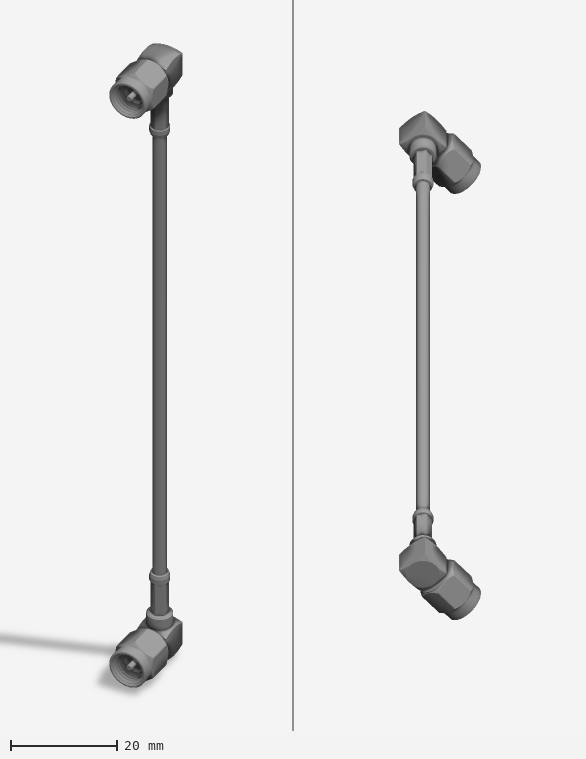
import cadquery as cq
import math


overall_height = 141.1

block_width = 6.3
block_back_y = block_width / 2
block_front_y = -block_width / 2
block_end_diameter = block_width
neck_diameter = 5.1
neck_end_drop = 5.9
neck_chamfer = 0.3
barrel_diameter = 5.1
socket_diameter = 4.5
pin_diameter = 1.2
pin_tip_diameter = 0.95
barrel_length = 6.2
socket_depth = 1.0
pin_length = 3.2

total_depth = 15.5
nut_front_y = block_back_y - total_depth
nut_flats = 8.0
nut_clearance = 0.4
nut_back_y = block_front_y - nut_clearance
nut_length = nut_back_y - nut_front_y
nut_rim_diameter = 7.9
nut_rim_length = 2.1
nut_bore_depth = 5.9
nut_corner_diameter = 9.2
nut_corner_chamfer = 0.8
nut_rim_chamfer = 0.1
nut_mouth_chamfer = 0.3
thread_minor_diameter = 5.8
thread_major_diameter = 6.5
thread_pitch = 0.7
thread_count = 7

plug_axis_z = (overall_height - nut_corner_diameter) / 2

ferrule_flats = 3.1
ferrule_corner_diameter = 3.5
ferrule_end_drop = 15.1
collar_diameter = 4.0
collar_length = 1.7
collar_end_diameter = 3.5
collar_taper_length = 0.7

cable_diameter = 2.7


def rod(diameter, start_y, length):
    """Cylinder on the plug axis that runs toward -Y from start_y."""
    return (
        cq.Workplane("XZ", origin=(0, start_y, 0))
        .circle(diameter / 2)
        .extrude(length)
    )


def post(diameter, top_z, length):
    """Cylinder on the cable axis that runs down from top_z."""
    return (
        cq.Workplane("XY", origin=(0, 0, top_z))
        .circle(diameter / 2)
        .extrude(-length)
    )


def make_elbow():
    block = cq.Workplane("XY").box(block_width, block_width, block_width)
    corner_diameter = block_width * math.sqrt(2)
    trim_width = (corner_diameter - block_end_diameter) / 2
    turned_blank = (
        post(corner_diameter, block_width / 2, block_width)
        .faces("<Z or >Z")
        .chamfer(trim_width / 2, trim_width)
    )
    block = block.intersect(turned_blank)
    neck = post(neck_diameter, 0, neck_end_drop).faces("<Z").chamfer(neck_chamfer)
    barrel = rod(barrel_diameter, block_front_y, barrel_length)
    elbow = block.union(neck).union(barrel)
    socket_floor_y = block_front_y - barrel_length + socket_depth
    socket = rod(socket_diameter, socket_floor_y, socket_depth)
    pin = rod(pin_diameter, socket_floor_y, pin_length)
    pin = pin.faces("<Y").chamfer((pin_diameter - pin_tip_diameter) / 2)
    return elbow.cut(socket).union(pin)


def thread_groove(front_y):
    """Solid plug whose V-shaped rim cuts one ring of the nut thread."""
    minor_radius = thread_minor_diameter / 2
    major_radius = thread_major_diameter / 2
    return (
        cq.Workplane("XY")
        .moveTo(minor_radius, front_y)
        .lineTo(major_radius, front_y + thread_pitch / 2)
        .lineTo(minor_radius, front_y + thread_pitch)
        .lineTo(0, front_y + thread_pitch)
        .lineTo(0, front_y)
        .close()
        .revolve(360, (0, 0), (0, 1))
    )


def make_nut():
    hexagon_length = nut_length - nut_rim_length
    hexagon = (
        cq.Workplane("XZ", origin=(0, nut_back_y, 0))
        .polygon(6, nut_flats, circumscribed=True)
        .extrude(hexagon_length)
    )
    turned_blank = (
        rod(nut_corner_diameter, nut_back_y, hexagon_length)
        .faces("<Y or >Y")
        .chamfer(nut_corner_chamfer)
    )
    hexagon = hexagon.intersect(turned_blank)
    rim = rod(nut_rim_diameter, nut_back_y, nut_length).faces("<Y").chamfer(nut_rim_chamfer)
    nut = hexagon.union(rim)
    nut = nut.cut(rod(barrel_diameter, nut_back_y, nut_length))
    nut = nut.cut(rod(thread_minor_diameter, nut_front_y + nut_bore_depth, nut_bore_depth))
    for index in range(thread_count):
        nut = nut.cut(thread_groove(nut_front_y + index * thread_pitch))
    major_radius = thread_major_diameter / 2
    mouth = cq.Solid.makeCone(
        major_radius + nut_mouth_chamfer,
        major_radius,
        nut_mouth_chamfer,
        pnt=cq.Vector(0, nut_front_y, 0),
        dir=cq.Vector(0, 1, 0),
    )
    return nut.cut(cq.Workplane(obj=mouth))


def make_ferrule():
    length = ferrule_end_drop - neck_end_drop
    hexagon = (
        cq.Workplane("XY", origin=(0, 0, -neck_end_drop))
        .polygon(6, ferrule_flats, circumscribed=True)
        .extrude(-length)
    )
    hexagon = hexagon.intersect(post(ferrule_corner_diameter, -neck_end_drop, length))
    collar = (
        post(collar_diameter, -ferrule_end_drop + collar_length, collar_length)
        .faces("<Z")
        .chamfer(collar_taper_length, (collar_diameter - collar_end_diameter) / 2)
    )
    return hexagon.union(collar).cut(post(cable_diameter, 0, ferrule_end_drop))


def place_pair(body):
    """Set a body on the upper plug axis and mirror a copy to the lower end."""
    upper = body.translate((0, 0, plug_axis_z))
    lower = upper.mirror("XY")
    return [upper.val(), lower.val()]


elbows = place_pair(make_elbow())
nuts = place_pair(make_nut())
ferrules = place_pair(make_ferrule())
cable_end_z = plug_axis_z - neck_end_drop
cable = post(cable_diameter, cable_end_z, 2 * cable_end_z)

result = cq.Compound.makeCompound([cable.val(), *elbows, *nuts, *ferrules])